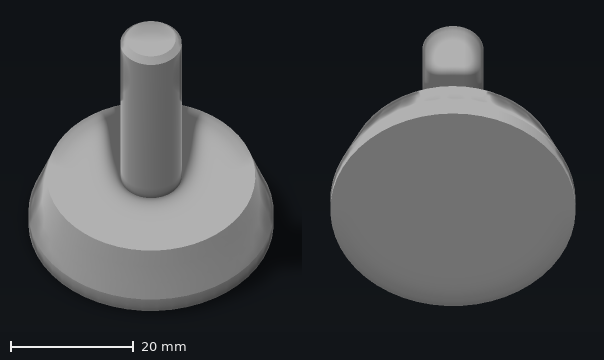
import cadquery as cq

total_height = 43.0
base_diameter = 40.0

rim_height = 2.65
base_height = 11.0
base_top_diameter = 34.0

stud_diameter = 10.0
stud_chamfer = 1.0


def make_base():
    """Solid foot, revolved about Z, with its underside at Z = 0."""
    rim_radius = base_diameter / 2
    top_radius = base_top_diameter / 2
    return (
        cq.Workplane("XZ")
        .lineTo(rim_radius, 0)
        .lineTo(rim_radius, rim_height)
        .lineTo(top_radius, base_height)
        .lineTo(0, base_height)
        .close()
        .revolve(360, (0, 0, 0), (0, 1, 0))
    )


def make_stud():
    """Plain round stud standing on the base, chamfered at its free end."""
    return (
        cq.Workplane("XY")
        .workplane(offset=base_height)
        .circle(stud_diameter / 2)
        .extrude(total_height - base_height)
        .faces(">Z")
        .chamfer(stud_chamfer)
    )


result = make_base().union(make_stud())